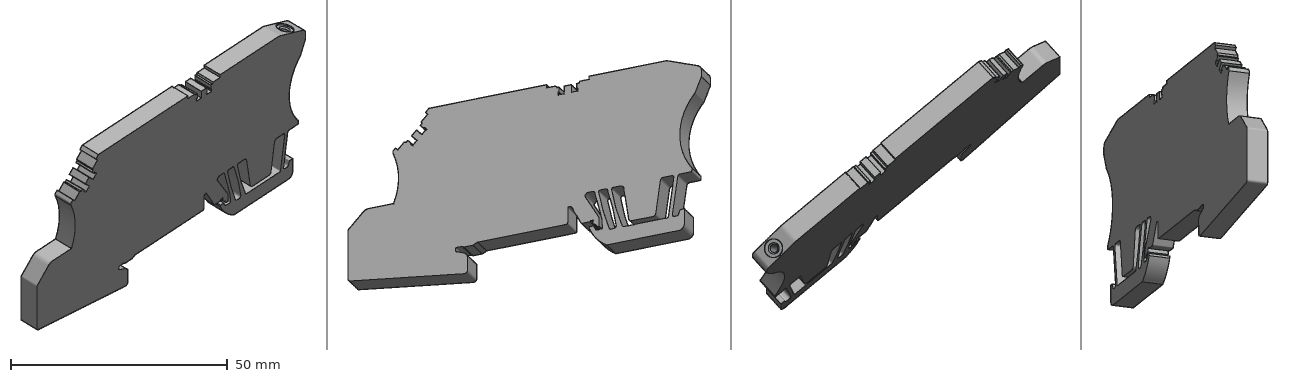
import cadquery as cq
import math

LENGTH = 89.8
HEIGHT = 44.3
THICKNESS = 5.1

BODY_BOTTOM = 14.5
RAIL_SEAT = 7.4
RAIL_LIP = 6.8
TONGUE_BOTTOM = 4.9
FOOT_TOP = 3.9
SHELF = 21.65
LEG_BEND_RADIUS = 18.0

SLOPE_TOP = (81.0, HEIGHT)
SLOPE_END = (LENGTH, 41.1)
SLOPE_ANGLE = math.degrees(math.atan2(SLOPE_TOP[1] - SLOPE_END[1], SLOPE_END[0] - SLOPE_TOP[0]))

BEVEL_TOP = (20.6, HEIGHT)
BEVEL_RUN = 9.2
BEVEL_BOTTOM = (BEVEL_TOP[0] - BEVEL_RUN, HEIGHT - BEVEL_RUN)

TOP_GROOVE_Y = 55.9
BEVEL_GROOVE_OFFSET = 4.7
MARKER_GROOVES = [
    ((TOP_GROOVE_Y, HEIGHT), 0),
    ((BEVEL_TOP[0] - BEVEL_GROOVE_OFFSET, HEIGHT - BEVEL_GROOVE_OFFSET), 45),
]
GROOVE_HALF_WIDTH = 5.4
GROOVE_STEP = 0.8
GROOVE_CLEARANCE = 0.8
RAMP_TOP = 3.05
RAMP_FOOT = 2.8
SLOT_OUTER = 2.25
SLOT_INNER = 0.9
SLOT_DEPTH = 3.2
SLOT_SHOULDER = 1.3
UNDERCUT_DEPTH = 2.5
UNDERCUT = 0.3

SCREW_Y = 85.6
RECESS_DIAMETER = 4.3
RECESS_DEPTH = 0.4
COUNTERSINK_DIAMETER = 2.6
BORE_DIAMETER = 1.9
BORE_DEPTH = 7.2


def extrude_profile(wire):
    """Extrude a closed YZ wire over the full plate thickness, centred on X = 0."""
    return wire.extrude(THICKNESS / 2, both=True)


def rounded_plate(corners):
    """Plate with a straight-sided outline whose corners may carry a radius."""
    wire = None
    for i, corner in enumerate(corners):
        radius = corner[2] if len(corner) > 2 else 0
        tip = cq.Vector(corner[0], corner[1])
        before = corners[i - 1]
        after = corners[(i + 1) % len(corners)]
        to_before = (cq.Vector(before[0], before[1]) - tip).normalized()
        to_after = (cq.Vector(after[0], after[1]) - tip).normalized()
        half_angle = to_before.getAngle(to_after) / 2
        setback = radius / math.tan(half_angle)
        start = tip + to_before * setback
        end = tip + to_after * setback
        bisector = (to_before + to_after).normalized()
        middle = tip + bisector * (radius / math.sin(half_angle) - radius)
        if wire is None:
            wire = cq.Workplane("YZ").moveTo(start.x, start.y)
        else:
            wire = wire.lineTo(start.x, start.y)
        if radius:
            wire = wire.threePointArc((middle.x, middle.y), (end.x, end.y))
    return extrude_profile(wire.close())


def arc_segment(start, through, end):
    """Plate bounded by an arc and its chord."""
    return extrude_profile(cq.Workplane("YZ").moveTo(*start).threePointArc(through, end).close())


def marker_groove(centre, tilt):
    """Stepped groove with two undercut slots and a tooth left between them."""
    half = [
        (GROOVE_HALF_WIDTH, GROOVE_CLEARANCE),
        (GROOVE_HALF_WIDTH, -GROOVE_STEP),
        (RAMP_TOP, -GROOVE_STEP),
        (RAMP_FOOT, -SLOT_SHOULDER),
        (SLOT_OUTER, -SLOT_SHOULDER),
        (SLOT_OUTER, -UNDERCUT_DEPTH),
        (SLOT_OUTER + UNDERCUT, -UNDERCUT_DEPTH),
        (SLOT_OUTER + UNDERCUT, -SLOT_DEPTH),
        (SLOT_INNER, -SLOT_DEPTH),
        (SLOT_INNER, -SLOT_SHOULDER),
    ]
    mirrored = [(-u, v) for u, v in reversed(half)]
    groove = extrude_profile(cq.Workplane("YZ").polyline(half + mirrored).close())
    return groove.rotate((0, 0, 0), (1, 0, 0), tilt).translate((0, *centre))


def screw_entry():
    """Shallow recess and blind bore with a 45 degree countersink, square to the sloped face."""
    z = SLOPE_END[1] + (SLOPE_END[0] - SCREW_Y) * math.tan(math.radians(SLOPE_ANGLE))
    recess = cq.Workplane("XY").circle(RECESS_DIAMETER / 2).extrude(-RECESS_DEPTH)
    countersink = (
        cq.Workplane("XY", origin=(0, 0, -RECESS_DEPTH))
        .circle(COUNTERSINK_DIAMETER / 2)
        .workplane(offset=-(COUNTERSINK_DIAMETER - BORE_DIAMETER) / 2)
        .circle(BORE_DIAMETER / 2)
        .loft()
    )
    bore = cq.Workplane("XY").circle(BORE_DIAMETER / 2).extrude(-BORE_DEPTH)
    cutter = recess.union(countersink).union(bore)
    return cutter.rotate((0, 0, 0), (1, 0, 0), -SLOPE_ANGLE).translate((0, SCREW_Y, z))


SCREW_GRIP = ((88.2, 34.5), (84.4, 24.9), (87.4, 15.45))
STEP_GRIP = ((BEVEL_BOTTOM[0], 34.6), (12.85, 27.5), (11.6, SHELF))
FOOT_NOSE = ((65.8, 0), (63.2, 2.2), (61.4, 5.0))

screw_end = [
    (*SLOPE_TOP, 2.3),
    (*SLOPE_END, 1.4),
    (LENGTH, 38.4),
    SCREW_GRIP[0],
    SCREW_GRIP[2],
    (87.4, BODY_BOTTOM, 0.4),
]
spring_foot = [
    (83.9, BODY_BOTTOM, 0.7),
    (82.4, FOOT_TOP, 0.5),
    (83.9, FOOT_TOP, 0.5),
    (84.45, 5.3, 0.2),
    (85.5, 5.3),
    (85.5, 0, 1.5),
    FOOT_NOSE[0],
    FOOT_NOSE[2],
    (61.4, 5.6),
    (62.4, 5.6, 0.3),
    (63.1, 4.4, 0.4),
    (64.7, 4.4, 0.4),
    (64.6, 6.7, 4.5),
]
latch_hook = [
    (62.6, BODY_BOTTOM, 0.5),
    (60.8, BODY_BOTTOM, 0.4),
    (60.2, 13.75, 0.3),
    (63.9, 7.4, 0.45),
    (63.9, 5.2),
    (63.25, 5.2),
    (62.9, 5.8),
    (62.3, 6.2),
    (62.3, 7.1),
    (61.7, 7.1),
    (61.5, RAIL_LIP),
    (59.3, RAIL_LIP, 0.4),
    (56.7, 11.8, 0.4),
    (55.9, 11.8, 0.4),
]
rail_seat = [
    (55.9, RAIL_SEAT, 0.45),
    (33.0, RAIL_SEAT),
    (31.8, RAIL_LIP),
    (29.5, RAIL_LIP),
    (29.0, 7.1),
    (27.4, 7.1, 0.3),
    (27.4, 6.1, 0.3),
]
fixed_foot = [
    (29.7, 5.2, 0.7),
    (30.5, 4.4, 0.4),
    (30.5, 0, 0.8),
    (29.3, 0),
    (0, 4.0, 0.6),
    (0, 17.2, 0.7),
    (4.5, SHELF, 2.2),
]
stepped_end = [
    STEP_GRIP[2],
    STEP_GRIP[0],
    (*BEVEL_BOTTOM, 0.3),
    BEVEL_TOP,
]

tongue_window = [
    (82.9, BODY_BOTTOM, 0.5),
    (79.5, BODY_BOTTOM, 0.8),
    (78.2, TONGUE_BOTTOM, 0.8),
    (71.4, TONGUE_BOTTOM, 0.8),
    (70.0, BODY_BOTTOM, 0.9),
    (66.9, BODY_BOTTOM, 0.45),
    (68.1, 9.0, LEG_BEND_RADIUS),
    (69.8, FOOT_TOP, 0.5),
    (81.4, FOOT_TOP, 0.3),
]
leg_window = [
    (65.85, BODY_BOTTOM, 0.5),
    (63.6, BODY_BOTTOM, 0.45),
    (64.9, 9.0, LEG_BEND_RADIUS),
    (66.5, FOOT_TOP, 0.6),
    (68.3, FOOT_TOP, 0.6),
    (67.3, 9.25, LEG_BEND_RADIUS),
]

body = rounded_plate(screw_end + spring_foot + latch_hook + rail_seat + fixed_foot + stepped_end)
body = body.union(arc_segment(*FOOT_NOSE))
for grip in (SCREW_GRIP, STEP_GRIP):
    body = body.cut(arc_segment(*grip))
for window in (tongue_window, leg_window):
    body = body.cut(rounded_plate(window))
for groove_centre, groove_tilt in MARKER_GROOVES:
    body = body.cut(marker_groove(groove_centre, groove_tilt))

result = body.cut(screw_entry())